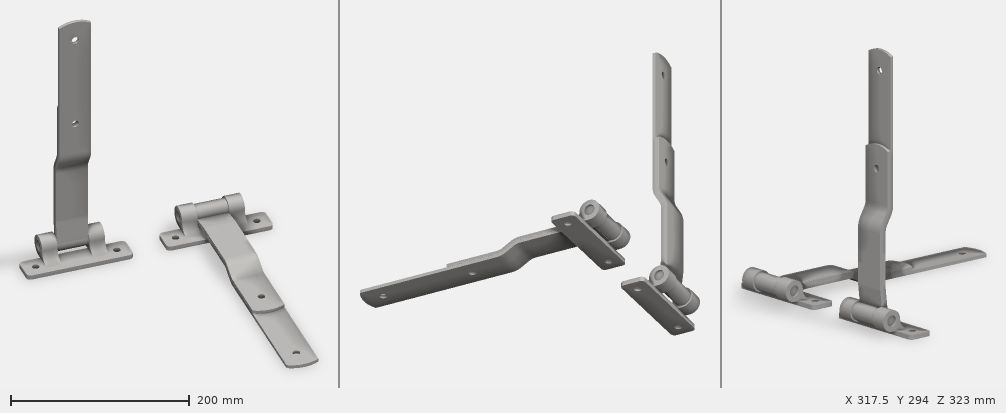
import cadquery as cq
import math

hinge_pitch = 167.0

plate_length = 127.0
plate_width = 30.0
plate_thickness = 5.5
plate_left = 6.0
plate_corner_radius = 5.0
plate_hole_diameter = 8.5
plate_hole_spacing = 97.0

knuckle_radius = 12.5
knuckle_length = 18.5
knuckle_fillet = 12.5
pin_radius = 6.5
pin_recess = 3.0

strap_width = 38.0
sheet_thickness = 4.0
slit_width = 0.1
barrel_radius = pin_radius + sheet_thickness
strap_hole_diameter = 8.5
strap_holes_x = (167.5, 280.5)
strap_end_radius = 40.0
long_layer_end = 305.0
short_layer_end = 195.6

raised_z = -2.95
strap_drop = 11.0
bend_inner_radius = 15.0
bend_radius = bend_inner_radius + sheet_thickness + slit_width / 2
entry_angle = math.radians(6.5)
joggle_angle = math.radians(30)
strap_root_x = 4.0
entry_bend_x = 33.2
joggle_start_x = 98.0

plate_center_x = plate_left + plate_width / 2
plate_top = -knuckle_radius
cutter_reach = 2 * strap_drop
layer_outer_offset = slit_width / 2 + sheet_thickness

joggle_bend_drop = 2 * bend_radius * (1 - math.cos(joggle_angle))
joggle_web_run = (strap_drop - joggle_bend_drop) / math.tan(joggle_angle)
joggle_end_x = joggle_start_x + 2 * bend_radius * math.sin(joggle_angle) + joggle_web_run


def extrude_along_y(profile, length):
    """Extrude an XZ profile to the given length, centred on Y = 0."""
    return profile.extrude(length / 2, both=True)


def disc(radius, length):
    return extrude_along_y(cq.Workplane("XZ").circle(radius), length)


def make_base():
    """Base plate with two filleted knuckles and the pin that joins them."""
    plate = (
        cq.Workplane("XY", origin=(plate_center_x, 0, plate_top - plate_thickness))
        .rect(plate_width, plate_length)
        .extrude(plate_thickness)
        .edges("|Z")
        .fillet(plate_corner_radius)
        .faces(">Z")
        .workplane(origin=(plate_center_x, 0, 0))
        .rarray(1, plate_hole_spacing, 1, 2)
        .hole(plate_hole_diameter)
    )

    fillet_x = 2 * math.sqrt(knuckle_radius * knuckle_fillet)
    fillet_z = plate_top + knuckle_fillet
    tangent_ratio = knuckle_radius / (knuckle_radius + knuckle_fillet)
    foot = (
        cq.Workplane("XZ")
        .lineTo(fillet_x * tangent_ratio, fillet_z * tangent_ratio)
        .radiusArc((fillet_x, plate_top), -knuckle_fillet)
        .lineTo(0, plate_top)
        .close()
    )
    bored_knuckle = (
        disc(knuckle_radius, knuckle_length)
        .union(extrude_along_y(foot, knuckle_length))
        .cut(disc(pin_radius, knuckle_length))
    )
    knuckle_y = (strap_width + knuckle_length) / 2
    base = plate.union(disc(pin_radius, strap_width + 2 * (knuckle_length - pin_recess)))
    for side in (-1, 1):
        base = base.union(bored_knuckle.translate((0, side * knuckle_y, 0)))
    return base


def bent_surface(offset):
    """Points along the strap at a height above the slit plane, as (arc midpoint, end point)."""
    convex = bend_radius + offset
    concave = bend_radius - offset
    convex_z = raised_z - bend_radius
    concave_z = raised_z - strap_drop + bend_radius

    def on_convex(x, angle):
        return x + convex * math.sin(angle), convex_z + convex * math.cos(angle)

    def on_concave(angle):
        return joggle_end_x - concave * math.sin(angle), concave_z - concave * math.cos(angle)

    entry_start = on_convex(entry_bend_x, -entry_angle)
    root_z = entry_start[1] - (entry_start[0] - strap_root_x) * math.tan(entry_angle)
    return [
        (None, (strap_root_x, root_z)),
        (None, entry_start),
        (on_convex(entry_bend_x, -entry_angle / 2), on_convex(entry_bend_x, 0)),
        (None, on_convex(joggle_start_x, 0)),
        (on_convex(joggle_start_x, joggle_angle / 2), on_convex(joggle_start_x, joggle_angle)),
        (None, on_concave(joggle_angle)),
        (on_concave(joggle_angle / 2), on_concave(0)),
        (None, (long_layer_end, raised_z - strap_drop + offset)),
    ]


def bent_layer(bottom_offset, top_offset):
    """Sheet that fills the strap's bent shape between two offsets from the slit plane."""
    top = bent_surface(top_offset)
    bottom = bent_surface(bottom_offset)
    profile = cq.Workplane("XZ").moveTo(*top[0][1])
    for arc_middle, end in top[1:]:
        profile = profile.threePointArc(arc_middle, end) if arc_middle else profile.lineTo(*end)
    profile = profile.lineTo(*bottom[-1][1])
    for (arc_middle, _), (_, end) in zip(bottom[:0:-1], bottom[-2::-1]):
        profile = profile.threePointArc(arc_middle, end) if arc_middle else profile.lineTo(*end)
    return extrude_along_y(profile.close(), strap_width)


def round_end(layer, end_x):
    """Trim a layer to an outward-bowed end whose tip lies at end_x."""
    half_width = strap_width / 2
    corner_x = end_x - strap_end_radius + math.sqrt(strap_end_radius**2 - half_width**2)
    outline = (
        cq.Workplane("XY")
        .moveTo(0, -half_width)
        .lineTo(corner_x, -half_width)
        .threePointArc((end_x, 0), (corner_x, half_width))
        .lineTo(0, half_width)
        .close()
        .extrude(cutter_reach, both=True)
    )
    return layer.intersect(outline)


def make_strap():
    """Sheet folded around the pin, with its two layers lying one on the other."""
    short_layer = round_end(bent_layer(slit_width / 2, layer_outer_offset), short_layer_end)
    long_layer = round_end(bent_layer(-layer_outer_offset, -slit_width / 2), long_layer_end)
    slit = bent_layer(-slit_width / 2, slit_width / 2)
    holes = (
        cq.Workplane("XY")
        .pushPoints([(x, 0) for x in strap_holes_x])
        .circle(strap_hole_diameter / 2)
        .extrude(cutter_reach, both=True)
    )
    barrel = disc(barrel_radius, strap_width)
    strap = barrel.union(short_layer).union(long_layer)
    return strap.cut(disc(pin_radius, strap_width)).cut(slit).cut(holes)


bodies = []
for hinge_y, swing_angle in ((hinge_pitch / 2, 0), (-hinge_pitch / 2, -90)):
    base = make_base().translate((0, hinge_y, 0))
    strap = make_strap().rotate((0, 0, 0), (0, 1, 0), swing_angle).translate((0, hinge_y, 0))
    bodies += [base.val(), strap.val()]

result = cq.Compound.makeCompound(bodies)